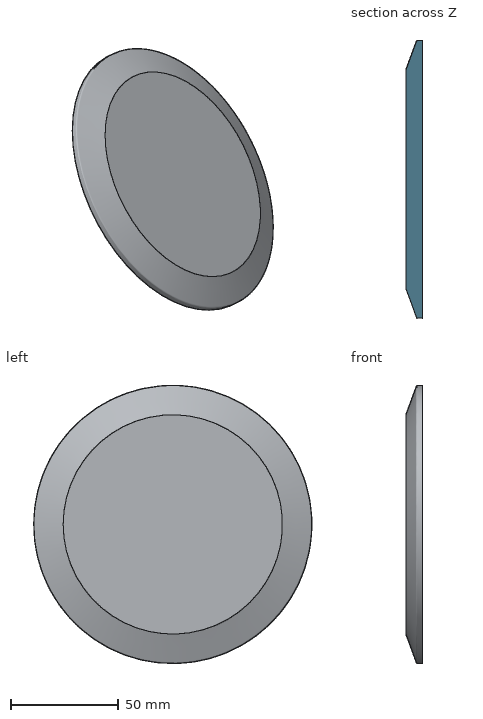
import cadquery as cq

rim_diameter = 130.0
face_diameter = 102.5
thickness = 7.9
rim_width = 2.9
rim_fillet = 0.8

rim_radius = rim_diameter / 2
face_radius = face_diameter / 2
shoulder_x = thickness / 2 - rim_width

half_section = (
    cq.Workplane("XY")
    .moveTo(-thickness / 2, 0)
    .lineTo(-thickness / 2, face_radius)
    .lineTo(shoulder_x, rim_radius)
    .lineTo(thickness / 2, rim_radius)
    .lineTo(thickness / 2, 0)
    .close()
)
disc = half_section.revolve(360, (0, 0, 0), (1, 0, 0))

shoulder_edge = cq.selectors.BoxSelector(
    (shoulder_x - rim_fillet, -rim_diameter, -rim_diameter),
    (shoulder_x + rim_fillet, rim_diameter, rim_diameter),
    boundingbox=True,
)
result = disc.edges(shoulder_edge).fillet(rim_fillet)